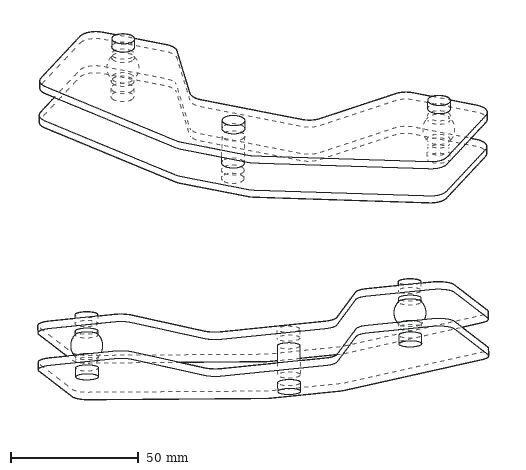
import cadquery as cq

width = 172.1
depth = 77.3
plate_thickness = 3.1
plate_gap = 11.9
side_length = 52.0
front_flat_width = 31.0
notch_depth = 39.4
notch_mouth_width = 96.7
notch_floor_width = 51.0
corner_radius = 6.9

pin_diameter = 9.0
pin_length = 25.3
ball_diameter = 12.5
outer_pin_spacing = 133.9
outer_pin_inset = 9.0
center_pin_inset = 58.0

tilt = 2.0

rear_y = depth / 2


def plate(bottom_z):
    """Flat plate with a tapered front and a trapezoidal notch at the rear."""
    right_half = [
        (notch_floor_width / 2, rear_y - notch_depth),
        (notch_mouth_width / 2, rear_y),
        (width / 2, rear_y),
        (width / 2, rear_y - side_length),
        (front_flat_width / 2, -rear_y),
    ]
    left_half = [(-x, y) for x, y in reversed(right_half)]
    return (
        cq.Workplane("XY")
        .workplane(offset=bottom_z)
        .polyline(right_half + left_half)
        .close()
        .extrude(plate_thickness)
        .edges("|Z")
        .fillet(corner_radius)
    )


def pin(x, y):
    """Round pin through both plates, centered on the mid plane."""
    return cq.Workplane("XY").center(x, y).circle(pin_diameter / 2).extrude(pin_length / 2, both=True)


def ball(x, y):
    """Ball on a pin, midway between the plates."""
    return cq.Workplane("XY").center(x, y).sphere(ball_diameter / 2)


assembly = plate(plate_gap / 2).union(plate(-plate_gap / 2 - plate_thickness))
assembly = assembly.union(pin(0, rear_y - center_pin_inset))

outer_pin_y = rear_y - outer_pin_inset
for side in (-1, 1):
    outer_pin_x = side * outer_pin_spacing / 2
    assembly = assembly.union(pin(outer_pin_x, outer_pin_y))
    assembly = assembly.union(ball(outer_pin_x, outer_pin_y))

result = assembly.rotate((0, 0, 0), (1, 0, 0), -tilt)